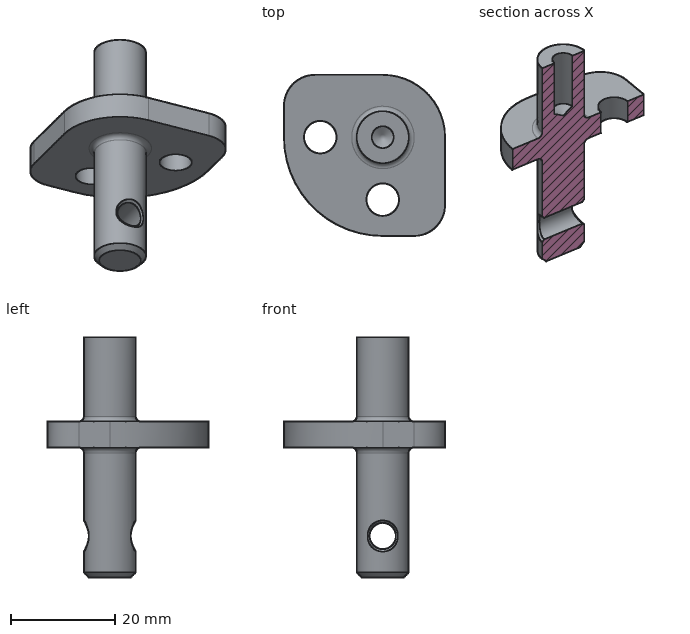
import cadquery as cq
import math

plate_thickness = 5.0
near_radius = 12.0
far_radius = 19.0
corner_radius = 6.0
mount_hole_diameter = 6.2
mount_hole_offset = 12.0

shaft_diameter = 10.0
shaft_radius = shaft_diameter / 2
length_above_plate = 16.2
length_below_plate = 25.0
shaft_bottom = -length_below_plate
shaft_top = plate_thickness + length_above_plate
end_chamfer = 1.0
root_fillet = 1.0

tap_hole_diameter = 4.2
tap_hole_depth = 12.0
drill_point_angle = 118.0

cross_hole_diameter = 5.0
cross_hole_end_distance = 8.0
cross_hole_height = shaft_bottom + cross_hole_end_distance
cross_hole_edge_chamfer = 0.5


def point_on_circle(center_x, center_y, radius, angle_degrees):
    """Point on a circle at the given angle from +X."""
    angle = math.radians(angle_degrees)
    return center_x + radius * math.cos(angle), center_y + radius * math.sin(angle)


def make_plate():
    """Plate with two large corners centred on the shaft, two small ones and two through holes."""
    positive_center = near_radius - corner_radius
    negative_center = corner_radius - far_radius
    outline = (
        cq.Workplane("XY")
        .moveTo(0, near_radius)
        .threePointArc(point_on_circle(0, 0, near_radius, 45), (near_radius, 0))
        .lineTo(near_radius, negative_center)
        .threePointArc(
            point_on_circle(positive_center, negative_center, corner_radius, -45),
            (positive_center, -far_radius),
        )
        .lineTo(0, -far_radius)
        .threePointArc(point_on_circle(0, 0, far_radius, 225), (-far_radius, 0))
        .lineTo(-far_radius, positive_center)
        .threePointArc(
            point_on_circle(negative_center, positive_center, corner_radius, 135),
            (negative_center, near_radius),
        )
        .close()
    )
    mount_holes = (
        cq.Workplane("XY")
        .pushPoints([(-mount_hole_offset, 0), (0, -mount_hole_offset)])
        .circle(mount_hole_diameter / 2)
        .extrude(plate_thickness)
    )
    return outline.extrude(plate_thickness).cut(mount_holes)


def make_shaft():
    """Revolved shaft with the end chamfer and the concave fillets at the plate faces."""
    flare_radius = shaft_radius + root_fillet
    fillet_reach = root_fillet * (1 - math.sqrt(0.5))
    fillet_middle_radius = shaft_radius + fillet_reach
    return (
        cq.Workplane("XZ")
        .moveTo(0, shaft_bottom)
        .lineTo(shaft_radius - end_chamfer, shaft_bottom)
        .lineTo(shaft_radius, shaft_bottom + end_chamfer)
        .lineTo(shaft_radius, -root_fillet)
        .threePointArc((fillet_middle_radius, -fillet_reach), (flare_radius, 0))
        .lineTo(flare_radius, plate_thickness)
        .threePointArc(
            (fillet_middle_radius, plate_thickness + fillet_reach),
            (shaft_radius, plate_thickness + root_fillet),
        )
        .lineTo(shaft_radius, shaft_top)
        .lineTo(0, shaft_top)
        .close()
        .revolve(360, (0, 0, 0), (0, 1, 0))
    )


def make_tap_hole():
    """Drilled hole with a conical bottom, as a cutting body."""
    radius = tap_hole_diameter / 2
    floor = shaft_top - tap_hole_depth
    tip_depth = radius / math.tan(math.radians(drill_point_angle / 2))
    return (
        cq.Workplane("XZ")
        .moveTo(0, floor - tip_depth)
        .lineTo(radius, floor)
        .lineTo(radius, shaft_top)
        .lineTo(0, shaft_top)
        .close()
        .revolve(360, (0, 0, 0), (0, 1, 0))
    )


def cut_cross_hole(body):
    """Through hole along Y whose two curved rims are chamfered."""
    hole = (
        cq.Workplane("XZ", origin=(0, 0, cross_hole_height))
        .circle(cross_hole_diameter / 2)
        .extrude(shaft_radius, both=True)
    )
    return body.cut(hole).edges("%BSPLINE").chamfer(cross_hole_edge_chamfer)


body = make_plate().union(make_shaft()).cut(make_tap_hole())
result = cut_cross_hole(body)